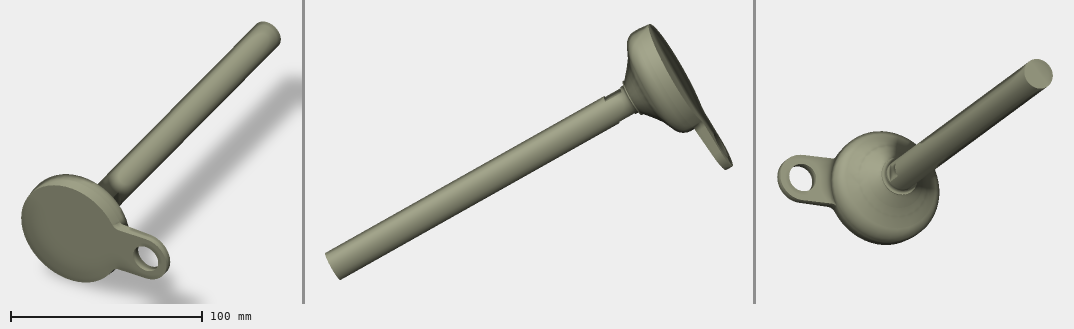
import cadquery as cq
import math


PAD_RADIUS = 30.0
SOLE_RADIUS = 29.3
RIM_START = 5.6
RIM_END = 8.5
SHOULDER_RADIUS = 25.0
SHOULDER_HEIGHT = 15.5
CONE_RADIUS = 15.5
CONE_HEIGHT = 21.2
NECK_RADIUS = 9.5
NECK_HEIGHT = 26.5
LIP_RADIUS = 10.2
PAD_HEIGHT = 27.0

LUG_REACH = 58.0
LUG_RADIUS = 12.5
LUG_HOLE_RADIUS = 7.5
LUG_FILLET = 5.0
LUG_ROOT_HEIGHT = RIM_START
LUG_TIP_HEIGHT = 4.0
LUG_CENTER = LUG_REACH - LUG_RADIUS

TOTAL_LENGTH = 208.0
STUD_RADIUS = 8.1
STUD_CHAMFER = 1.0
SPIGOT_RADIUS = STUD_RADIUS - STUD_CHAMFER
SOCKET_FLOOR = RIM_END
FLAT_START = 29.5
FLAT_END = 39.5
ACROSS_FLATS = 13.0


def point_on_circle(center, radius, angle):
    """Point on a circle at the given angle."""
    return center[0] + radius * math.cos(angle), center[1] + radius * math.sin(angle)


def pad_dome():
    """Drafted rim, rounded shoulder, concave flank and conical neck, revolved about Y."""
    inset = PAD_RADIUS - SHOULDER_RADIUS
    rise = SHOULDER_HEIGHT - RIM_END
    shoulder_arc = (inset ** 2 + rise ** 2) / (2 * inset)
    center = (PAD_RADIUS - shoulder_arc, RIM_END)
    sweep = math.atan2(rise, SHOULDER_RADIUS - center[0])
    tangent = (-math.sin(sweep), math.cos(sweep))
    return (
        cq.Workplane("XY")
        .lineTo(SOLE_RADIUS, 0)
        .lineTo(PAD_RADIUS, RIM_START)
        .lineTo(PAD_RADIUS, RIM_END)
        .threePointArc(point_on_circle(center, shoulder_arc, sweep / 2), (SHOULDER_RADIUS, SHOULDER_HEIGHT))
        .spline([(CONE_RADIUS, CONE_HEIGHT)],
                tangents=[tangent, (NECK_RADIUS - CONE_RADIUS, NECK_HEIGHT - CONE_HEIGHT)],
                includeCurrent=True)
        .lineTo(NECK_RADIUS, NECK_HEIGHT)
        .lineTo(LIP_RADIUS, NECK_HEIGHT)
        .lineTo(LIP_RADIUS, PAD_HEIGHT)
        .lineTo(0, PAD_HEIGHT)
        .close()
        .revolve(360, (0, 0), (0, 1))
    )


def lug():
    """Rounded lug with filleted root, a top sloping to the tip and a through hole."""
    fillet_z = LUG_RADIUS + LUG_FILLET
    fillet_x = math.sqrt((SOLE_RADIUS + LUG_FILLET) ** 2 - fillet_z ** 2)
    fillet_angle = math.atan2(fillet_z, fillet_x)
    root_x, root_z = point_on_circle((0, 0), SOLE_RADIUS, fillet_angle)
    middle_angle = (fillet_angle + math.pi + 1.5 * math.pi) / 2
    mid_x, mid_z = point_on_circle((fillet_x, fillet_z), LUG_FILLET, middle_angle)
    plate = (
        cq.Workplane("XZ")
        .lineTo(root_x, root_z)
        .threePointArc((mid_x, mid_z), (fillet_x, LUG_RADIUS))
        .lineTo(LUG_CENTER, LUG_RADIUS)
        .threePointArc((LUG_REACH, 0), (LUG_CENTER, -LUG_RADIUS))
        .lineTo(fillet_x, -LUG_RADIUS)
        .threePointArc((mid_x, -mid_z), (root_x, -root_z))
        .close()
        .extrude(-LUG_ROOT_HEIGHT)
    )
    side_profile = (
        cq.Workplane("XY")
        .lineTo(LUG_REACH, 0)
        .lineTo(LUG_REACH, LUG_TIP_HEIGHT)
        .lineTo(PAD_RADIUS, LUG_ROOT_HEIGHT)
        .lineTo(0, LUG_ROOT_HEIGHT)
        .close()
        .extrude(PAD_RADIUS, both=True)
    )
    hole = cq.Workplane("XZ").center(LUG_CENTER, 0).circle(LUG_HOLE_RADIUS).extrude(-LUG_ROOT_HEIGHT)
    return plate.intersect(side_profile).cut(hole)


def make_pad():
    """Foot pad with its lug and the blind socket for the stud."""
    socket = (
        cq.Workplane("XZ", origin=(0, SOCKET_FLOOR, 0))
        .circle(SPIGOT_RADIUS)
        .extrude(SOCKET_FLOOR - PAD_HEIGHT)
    )
    return pad_dome().union(lug()).cut(socket)


def make_stud():
    """Long stud with a seated spigot, a chamfered shoulder and two wrench flats."""
    rod = (
        cq.Workplane("XY")
        .moveTo(0, SOCKET_FLOOR)
        .lineTo(SPIGOT_RADIUS, SOCKET_FLOOR)
        .lineTo(SPIGOT_RADIUS, PAD_HEIGHT)
        .lineTo(STUD_RADIUS, PAD_HEIGHT + STUD_CHAMFER)
        .lineTo(STUD_RADIUS, TOTAL_LENGTH)
        .lineTo(0, TOTAL_LENGTH)
        .close()
        .revolve(360, (0, 0), (0, 1))
    )
    flat_length = FLAT_END - FLAT_START
    for side in (-1, 1):
        notch = cq.Workplane("XY").box(STUD_RADIUS, flat_length, 2 * STUD_RADIUS).translate(
            (side * (ACROSS_FLATS + STUD_RADIUS) / 2, (FLAT_START + FLAT_END) / 2, 0)
        )
        rod = rod.cut(notch)
    return rod


pad = make_pad()
stud = make_stud()
result = cq.Compound.makeCompound([pad.val(), stud.val()])